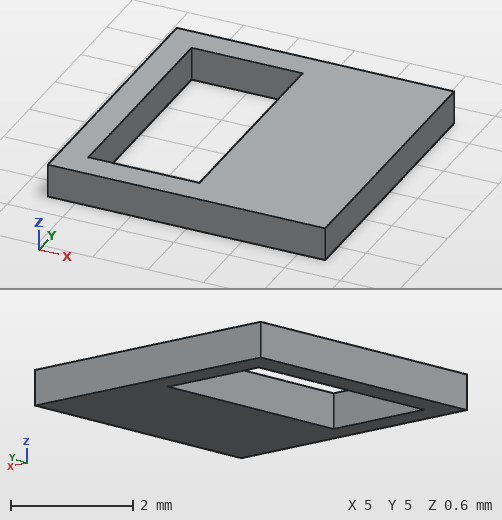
import cadquery as cq

side = 5.0
thickness = 0.6

rim = 0.5
window_width = side / 2 - rim
window_length = side - 2 * rim
window_center_x = -window_width / 2

plate = cq.Workplane("XY").box(side, side, thickness)

window = (
    cq.Workplane("XY")
    .box(window_width, window_length, thickness)
    .translate((window_center_x, 0, 0))
)

result = plate.cut(window)